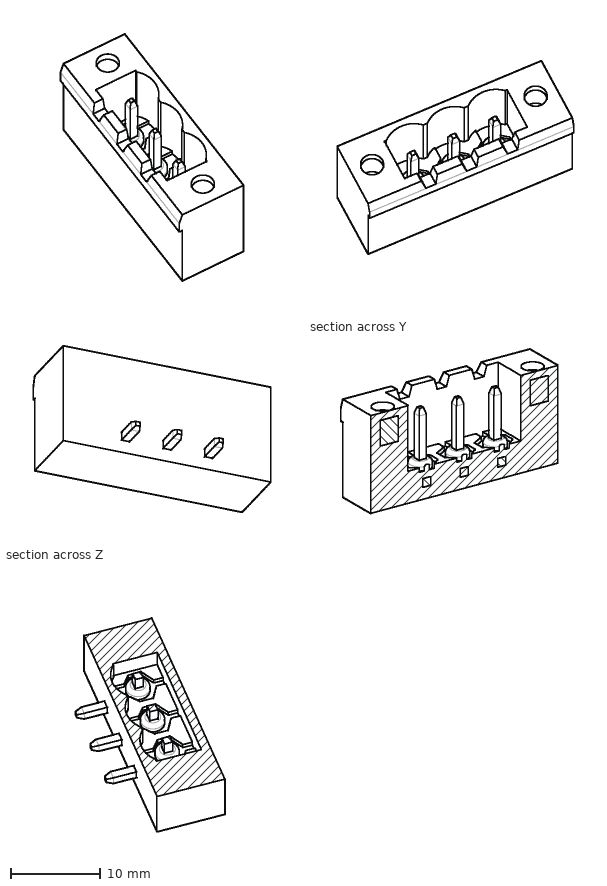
import cadquery as cq
import math


LENGTH = 25.4
HEIGHT = 12.0
BACK_Y = 3.8
BODY_FRONT_Y = -4.27
LIP_OUT = 0.4
LIP_FRONT_Y = BODY_FRONT_Y - LIP_OUT
LIP_HEIGHT = 2.82
LIP_BEVEL_HEIGHT = 1.3

PITCH = 5.08
PIN_COUNT = 3
PIN_XS = [PITCH * (i - (PIN_COUNT - 1) / 2) for i in range(PIN_COUNT)]

RECESS_LENGTH = PITCH * PIN_COUNT
RECESS_FRONT_Y = -3.15
RECESS_BACK_Y = 2.1
RECESS_DEPTH = 8.0
RECESS_FLOOR_Z = HEIGHT - RECESS_DEPTH
LOBE_HALF_WIDTH = 2.29
LOBE_RISE = 0.91
LOBE_TOP_Y = RECESS_BACK_Y + LOBE_RISE

NOTCH_TOP_WIDTH = 2.0
NOTCH_FLOOR_WIDTH = 1.25
NOTCH_DEPTH = LIP_BEVEL_HEIGHT

POCKET_DEPTH = 0.5
POCKET_FLOOR_Z = RECESS_FLOOR_Z - POCKET_DEPTH
POCKET_WIDTH = 4.15
FRONT_NECK_WIDTH = 0.95
FRONT_NECK_Y = -2.03
BACK_NECK_WIDTH = NOTCH_TOP_WIDTH
BACK_NECK_Y = 1.3
POCKET_SIDE_FRONT_Y = -1.1
POCKET_SIDE_BACK_Y = 0.45

COLLAR_DIAMETER = 2.75
COLLAR_HEIGHT = 1.02
COLLAR_ROUND = 0.48

PIN_WIDTH = 1.0
PIN_TIP_WIDTH = 0.5
PIN_TIP_LENGTH = 0.75
PIN_TOP_Z = HEIGHT - 1.3
TAIL_Z = 2.03
TAIL_OUT = 3.5
TAIL_END_Y = BACK_Y + TAIL_OUT

FLANGE_X = PITCH * (PIN_COUNT + 1) / 2
SCREW_XS = [-FLANGE_X, FLANGE_X]
SCREW_BORE = 2.6
INSERT_TOP_DEPTH = 0.97
INSERT_LENGTH = 3.05
INSERT_DIAMETER = 3.55
INSERT_TOP_Z = HEIGHT - INSERT_TOP_DEPTH
INSERT_BOTTOM_Z = INSERT_TOP_Z - INSERT_LENGTH


def make_block():
    """Housing block: a side profile with the bevelled front lip, extruded along X."""
    profile = [
        (BACK_Y, 0),
        (BACK_Y, HEIGHT),
        (BODY_FRONT_Y, HEIGHT),
        (LIP_FRONT_Y, HEIGHT - LIP_BEVEL_HEIGHT),
        (LIP_FRONT_Y, HEIGHT - LIP_HEIGHT),
        (BODY_FRONT_Y, HEIGHT - LIP_HEIGHT),
        (BODY_FRONT_Y, 0),
    ]
    return cq.Workplane("YZ").polyline(profile).close().extrude(LENGTH / 2, both=True)


def lobed_prism(floor_z):
    """Recess outline with one arched lobe behind each pin, from floor_z up to the housing top."""
    outline = cq.Workplane("XY", origin=(0, 0, floor_z))
    outline = outline.moveTo(RECESS_LENGTH / 2, RECESS_FRONT_Y)
    outline = outline.lineTo(-RECESS_LENGTH / 2, RECESS_FRONT_Y)
    outline = outline.lineTo(-RECESS_LENGTH / 2, RECESS_BACK_Y)
    for x in PIN_XS:
        outline = outline.lineTo(x - LOBE_HALF_WIDTH, RECESS_BACK_Y)
        outline = outline.threePointArc((x, LOBE_TOP_Y), (x + LOBE_HALF_WIDTH, RECESS_BACK_Y))
    outline = outline.lineTo(RECESS_LENGTH / 2, RECESS_BACK_Y).close()
    return outline.extrude(HEIGHT - floor_z)


def make_pocket(x):
    """Keyhole pocket below the recess floor, running from the front wall to the lobe wall."""
    right_side = [
        (FRONT_NECK_WIDTH / 2, RECESS_FRONT_Y),
        (FRONT_NECK_WIDTH / 2, FRONT_NECK_Y),
        (POCKET_WIDTH / 2, POCKET_SIDE_FRONT_Y),
        (POCKET_WIDTH / 2, POCKET_SIDE_BACK_Y),
        (BACK_NECK_WIDTH / 2, BACK_NECK_Y),
        (BACK_NECK_WIDTH / 2, LOBE_TOP_Y),
    ]
    left_side = [(-px, py) for px, py in reversed(right_side)]
    keyhole = cq.Workplane("XY", origin=(x, 0, POCKET_FLOOR_Z))
    keyhole = keyhole.polyline(right_side + left_side).close().extrude(POCKET_DEPTH)
    return keyhole.intersect(lobed_prism(POCKET_FLOOR_Z))


def make_notch(x):
    """Notch with sloping sides, from the recess out through the lip."""
    profile = [
        (x - NOTCH_TOP_WIDTH / 2, HEIGHT),
        (x + NOTCH_TOP_WIDTH / 2, HEIGHT),
        (x + NOTCH_FLOOR_WIDTH / 2, HEIGHT - NOTCH_DEPTH),
        (x - NOTCH_FLOOR_WIDTH / 2, HEIGHT - NOTCH_DEPTH),
    ]
    notch = cq.Workplane("XZ", origin=(0, RECESS_FRONT_Y, 0)).polyline(profile).close()
    return notch.extrude(RECESS_FRONT_Y - LIP_FRONT_Y)


def make_collar(x):
    """Round collar on the pocket floor with a rounded top rim."""
    collar = cq.Workplane("XY", origin=(x, 0, POCKET_FLOOR_Z))
    collar = collar.circle(COLLAR_DIAMETER / 2).extrude(COLLAR_HEIGHT)
    return collar.faces(">Z").edges().fillet(COLLAR_ROUND)


def cylinder(x, diameter, bottom_z, top_z):
    """Upright cylinder on the row axis."""
    base = cq.Workplane("XY", origin=(x, 0, bottom_z))
    return base.circle(diameter / 2).extrude(top_z - bottom_z)


def pointed_bar(plane, length):
    """Square bar that starts on the plane and narrows to a small flat tip."""
    straight_length = length - PIN_TIP_LENGTH
    tip_taper = math.degrees(math.atan2((PIN_WIDTH - PIN_TIP_WIDTH) / 2, PIN_TIP_LENGTH))
    bar = cq.Workplane(plane).rect(PIN_WIDTH, PIN_WIDTH).extrude(straight_length)
    tip = cq.Workplane(plane).workplane(offset=straight_length).rect(PIN_WIDTH, PIN_WIDTH)
    return bar.union(tip.extrude(PIN_TIP_LENGTH, taper=tip_taper))


def make_pin(x):
    """Right-angled pin: an upright contact leg and a solder tail out of the back."""
    leg_bottom_z = TAIL_Z - PIN_WIDTH / 2
    upward = cq.Plane(origin=(x, 0, leg_bottom_z), xDir=(1, 0, 0), normal=(0, 0, 1))
    backward = cq.Plane(origin=(x, 0, TAIL_Z), xDir=(1, 0, 0), normal=(0, 1, 0))
    leg = pointed_bar(upward, PIN_TOP_Z - leg_bottom_z)
    tail = pointed_bar(backward, TAIL_END_Y)
    return leg.union(tail)


def make_insert(x):
    """Screw insert: a plain sleeve set below the top face, its bore in line with the hole."""
    sleeve = cylinder(x, INSERT_DIAMETER, INSERT_BOTTOM_Z, INSERT_TOP_Z)
    return sleeve.cut(cylinder(x, SCREW_BORE, INSERT_BOTTOM_Z, INSERT_TOP_Z))


def make_housing(pins):
    """Housing with its recess, notches, collars, insert seats and matching pin channels."""
    housing = make_block().cut(lobed_prism(RECESS_FLOOR_Z))
    for x in PIN_XS:
        housing = housing.cut(make_pocket(x)).cut(make_notch(x)).union(make_collar(x))
    for x in SCREW_XS:
        housing = housing.cut(cylinder(x, SCREW_BORE, INSERT_TOP_Z, HEIGHT))
        housing = housing.cut(cylinder(x, INSERT_DIAMETER, INSERT_BOTTOM_Z, INSERT_TOP_Z))
    for pin in pins:
        housing = housing.cut(pin)
    return housing


pins = [make_pin(x) for x in PIN_XS]
inserts = [make_insert(x) for x in SCREW_XS]
housing = make_housing(pins)

bodies = [housing, *pins, *inserts]
result = cq.Compound.makeCompound([body.solids().val() for body in bodies])